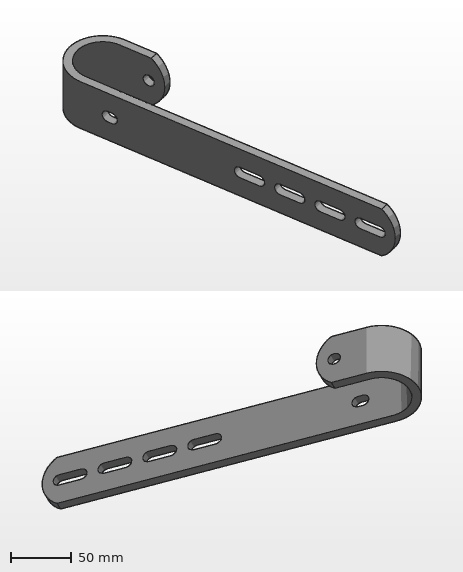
import cadquery as cq

bar_thickness = 8.0
bar_width = 50.0
inner_bend_radius = 25.0
outer_bend_radius = inner_bend_radius + bar_thickness
long_leg_length = 313.0
short_leg_length = 45.0
tip_radius = 30.0
bolt_clearance = 11.0

slot_count = 4
slot_pitch = 40.0
slot_length = 30.0
last_slot_to_tip = 25.0

pin_to_short_tip = 16.0
pin_x = short_leg_length - pin_to_short_tip
pin_slot_length = 15.0


def make_leg(length, y_start):
    """Straight leg from the bend to its arc-rounded tip, starting at y_start in Y."""
    half_width = bar_width / 2
    tip_sagitta = tip_radius - (tip_radius**2 - half_width**2) ** 0.5
    corner_x = length - tip_sagitta
    return (
        cq.Workplane("XZ", origin=(0, y_start, 0))
        .moveTo(0, -half_width)
        .lineTo(corner_x, -half_width)
        .threePointArc((length, 0), (corner_x, half_width))
        .lineTo(0, half_width)
        .close()
        .extrude(-bar_thickness)
    )


def make_bend():
    """Half ring on the -X side that joins the two legs."""
    return (
        cq.Workplane("XY", origin=(0, 0, -bar_width / 2))
        .moveTo(0, -outer_bend_radius)
        .threePointArc((-outer_bend_radius, 0), (0, outer_bend_radius))
        .lineTo(0, inner_bend_radius)
        .threePointArc((-inner_bend_radius, 0), (0, -inner_bend_radius))
        .close()
        .extrude(bar_width)
    )


def make_slot_cutter(center_x, length):
    """Slot along X that cuts through the long leg only."""
    return (
        cq.Workplane("XZ", origin=(center_x, -outer_bend_radius, 0))
        .slot2D(length, bolt_clearance)
        .extrude(-bar_thickness)
    )


def make_pin_hole_cutter():
    """Round hole that cuts through the short leg only."""
    return (
        cq.Workplane("XZ", origin=(pin_x, inner_bend_radius, 0))
        .circle(bolt_clearance / 2)
        .extrude(-bar_thickness)
    )


long_leg = make_leg(long_leg_length, -outer_bend_radius)
short_leg = make_leg(short_leg_length, inner_bend_radius)
result = make_bend().union(long_leg).union(short_leg)

for index in range(slot_count):
    slot_x = long_leg_length - last_slot_to_tip - index * slot_pitch
    result = result.cut(make_slot_cutter(slot_x, slot_length))

result = result.cut(make_slot_cutter(pin_x, pin_slot_length))
result = result.cut(make_pin_hole_cutter())